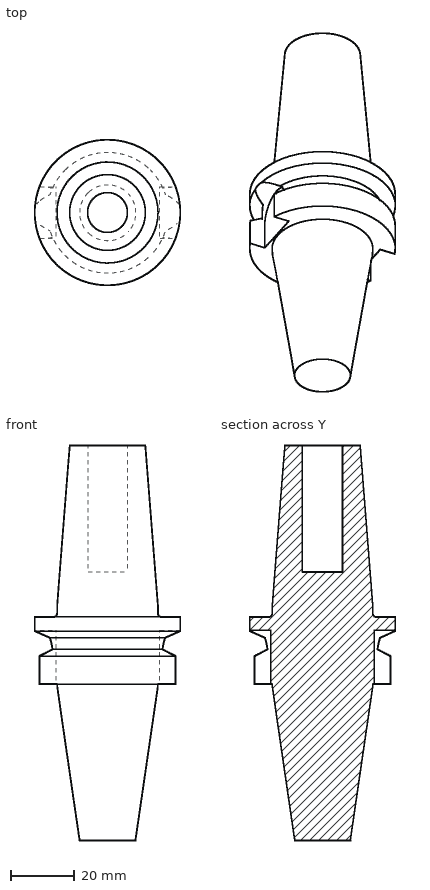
import cadquery as cq

total_length = 124.6
gauge_z = 48.3
flange_bottom_z = 49.3
lower_rim_top_z = 58.2
groove_bottom_z = 60.3
groove_top_z = 63.9
upper_rim_bottom_z = 66.0
flange_top_z = 70.5
nose_cone_start_z = 73.9

gauge_radius = 31.8 / 2
shank_taper = 7 / 48
shank_end_radius = gauge_radius - gauge_z * shank_taper
flange_radius = 46.0 / 2
groove_radius = 19.1
nose_base_radius = 16.0
nose_tip_radius = 12.0
nose_fillet_radius = 1.1

bore_diameter = 12.6
bore_depth = 39.9

slot_width = 16.2
slot_height = 17.0
slot_floor_x = 16.3


def make_turned_body():
    """Taper shank, grooved flange and conical nose, revolved about Z."""
    profile = (
        cq.Workplane("XZ")
        .lineTo(shank_end_radius, 0)
        .lineTo(gauge_radius, gauge_z)
        .lineTo(gauge_radius, flange_bottom_z)
        .lineTo(flange_radius, flange_bottom_z)
        .lineTo(flange_radius, lower_rim_top_z)
        .lineTo(groove_radius, groove_bottom_z)
        .lineTo(groove_radius, groove_top_z)
        .lineTo(flange_radius, upper_rim_bottom_z)
        .lineTo(flange_radius, flange_top_z)
        .lineTo(nose_base_radius + nose_fillet_radius, flange_top_z)
        .radiusArc((nose_base_radius, flange_top_z + nose_fillet_radius), nose_fillet_radius)
        .lineTo(nose_base_radius, nose_cone_start_z)
        .lineTo(nose_tip_radius, total_length)
        .lineTo(0, total_length)
        .close()
    )
    return profile.revolve(360, (0, 0, 0), (0, 1, 0))


def make_drive_slot():
    """Round-topped cutter for the +X slot, open at the flange underside."""
    half_width = slot_width / 2
    slot_top_z = flange_bottom_z + slot_height
    return (
        cq.Workplane("YZ", origin=(slot_floor_x, 0, 0))
        .moveTo(-half_width, flange_bottom_z)
        .lineTo(half_width, flange_bottom_z)
        .lineTo(half_width, slot_top_z - half_width)
        .threePointArc((0, slot_top_z), (-half_width, slot_top_z - half_width))
        .close()
        .extrude(flange_radius)
    )


result = make_turned_body()
result = result.faces(">Z").workplane().hole(bore_diameter, bore_depth)
for slot_angle in (0, 180):
    result = result.cut(make_drive_slot().rotate((0, 0, 0), (0, 0, 1), slot_angle))